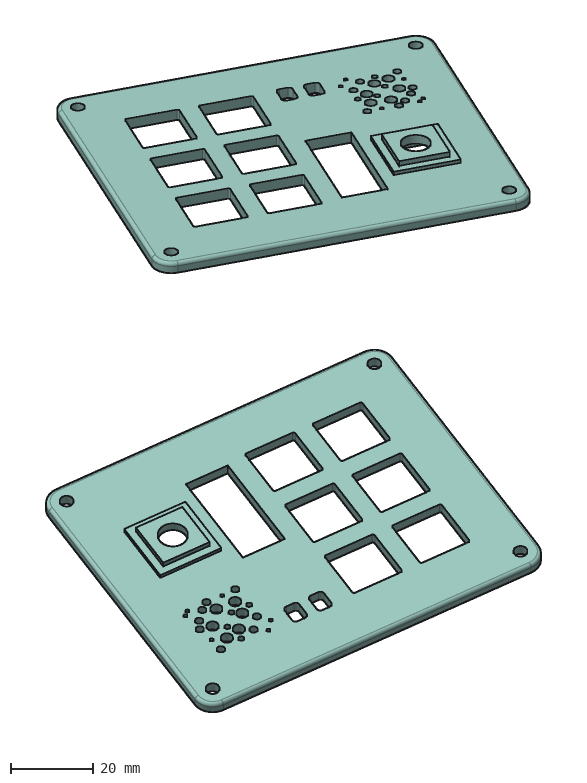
import cadquery as cq

PLATE_WIDTH = 80.0
PLATE_LENGTH = 97.0
PLATE_THICKNESS = 3.0
CORNER_RADIUS = 5.0
EDGE_FILLET = 1.0

SCREW_HOLE_DIAMETER = 3.4
SCREW_SPACING_X = PLATE_WIDTH - 2 * CORNER_RADIUS
SCREW_SPACING_Y = PLATE_LENGTH - 2 * CORNER_RADIUS

KEY_COLUMNS = 3
KEY_ROWS = 2
KEY_PITCH = 19.0
KEY_SIZE = 14.0
KEY_CORNER_RADIUS = 0.5
KEY_GRID_Y = -18.0

WINDOW_WIDTH = 27.4
WINDOW_LENGTH = 11.8
WINDOW_CENTER = (11.3, 9.8)

SLOT_WIDTH = 5.4
SLOT_LENGTH = 4.1
SLOT_CORNER_RADIUS = 1.0
SLOT_PITCH = 7.0
SLOT_PAIR_CENTER = (-24.1, 10.1)

GRILLE_HOLES = {
    3.0: [(-17.7, 33.3), (-22.7, 32.2), (-13.4, 29.7), (-21.7, 28.2), (-17.75, 24.9), (-13.7, 24.5)],
    2.0: [
        (-17.0, 36.5), (-25.1, 35.3), (-14.55, 35.2), (-11.9, 32.8),
        (-10.3, 30.7), (-23.7, 25.2), (-20.5, 22.4), (-10.3, 22.5),
    ],
    1.5: [(-19.7, 30.3), (-24.6, 29.3), (-16.2, 27.1), (-16.3, 22.1)],
    1.0: [(-11.4, 37.2), (-10.4, 36.1), (-21.3, 35.7), (-10.4, 26.3), (-25.7, 22.2), (-23.2, 20.1)],
}

SENSOR_CENTER = (10.8, 27.7)
SENSOR_SIZE = 13.1
SENSOR_THICKNESS = 2.5
SENSOR_BORE_DIAMETER = 7.4
SENSOR_TOP = 5.3
FRAME_SIZE = 17.3
FRAME_HEIGHT = 1.0


def rounded_cutter(width, length, corner_radius):
    """Cutter for a rectangular opening with rounded corners through the plate."""
    cutter = cq.Workplane("XY").box(width, length, PLATE_THICKNESS, centered=(True, True, False))
    return cutter.edges("|Z").fillet(corner_radius).val()


def plate_blank():
    """Rounded plate with its upper rim rounded over."""
    blank = cq.Workplane("XY").box(PLATE_WIDTH, PLATE_LENGTH, PLATE_THICKNESS, centered=(True, True, False))
    return blank.edges("|Z").fillet(CORNER_RADIUS).faces(">Z").edges().fillet(EDGE_FILLET)


def cut_screw_holes(plate):
    corners = cq.Workplane("XY").rarray(SCREW_SPACING_X, SCREW_SPACING_Y, 2, 2)
    return plate.cut(corners.circle(SCREW_HOLE_DIAMETER / 2).extrude(PLATE_THICKNESS))


def cut_key_openings(plate):
    key = rounded_cutter(KEY_SIZE, KEY_SIZE, KEY_CORNER_RADIUS)
    grid = cq.Workplane("XY").center(0, KEY_GRID_Y).rarray(KEY_PITCH, KEY_PITCH, KEY_COLUMNS, KEY_ROWS)
    return plate.cut(grid.eachpoint(lambda place: key.moved(place)))


def cut_display_window(plate):
    window = cq.Workplane("XY").center(*WINDOW_CENTER)
    return plate.cut(window.rect(WINDOW_WIDTH, WINDOW_LENGTH).extrude(PLATE_THICKNESS))


def cut_sensor_opening(plate):
    opening = cq.Workplane("XY").center(*SENSOR_CENTER)
    return plate.cut(opening.rect(SENSOR_SIZE, SENSOR_SIZE).extrude(PLATE_THICKNESS))


def cut_slot_pair(plate):
    slot = rounded_cutter(SLOT_WIDTH, SLOT_LENGTH, SLOT_CORNER_RADIUS)
    pair = cq.Workplane("XY").center(*SLOT_PAIR_CENTER).rarray(SLOT_PITCH, SLOT_PITCH, 1, 2)
    return plate.cut(pair.eachpoint(lambda place: slot.moved(place)))


def cut_speaker_grille(plate):
    for diameter, centers in GRILLE_HOLES.items():
        holes = cq.Workplane("XY").pushPoints(centers).circle(diameter / 2).extrude(PLATE_THICKNESS)
        plate = plate.cut(holes)
    return plate


def make_plate():
    plate = plate_blank()
    plate = cut_screw_holes(plate)
    plate = cut_key_openings(plate)
    plate = cut_display_window(plate)
    plate = cut_slot_pair(plate)
    plate = cut_speaker_grille(plate)
    return cut_sensor_opening(plate)


def make_sensor_frame():
    """Square ring on top of the plate, fitting closely around the sensor."""
    ring = cq.Workplane("XY").workplane(offset=PLATE_THICKNESS).center(*SENSOR_CENTER)
    return ring.rect(FRAME_SIZE, FRAME_SIZE).rect(SENSOR_SIZE, SENSOR_SIZE).extrude(FRAME_HEIGHT)


def make_sensor():
    """Bored square block that stands above the frame and reaches down into the plate."""
    block = cq.Workplane("XY").workplane(offset=SENSOR_TOP - SENSOR_THICKNESS).center(*SENSOR_CENTER)
    return block.rect(SENSOR_SIZE, SENSOR_SIZE).circle(SENSOR_BORE_DIAMETER / 2).extrude(SENSOR_THICKNESS)


plate = make_plate()
sensor_frame = make_sensor_frame()
sensor = make_sensor()

result = cq.Compound.makeCompound([plate.val(), sensor_frame.val(), sensor.val()])